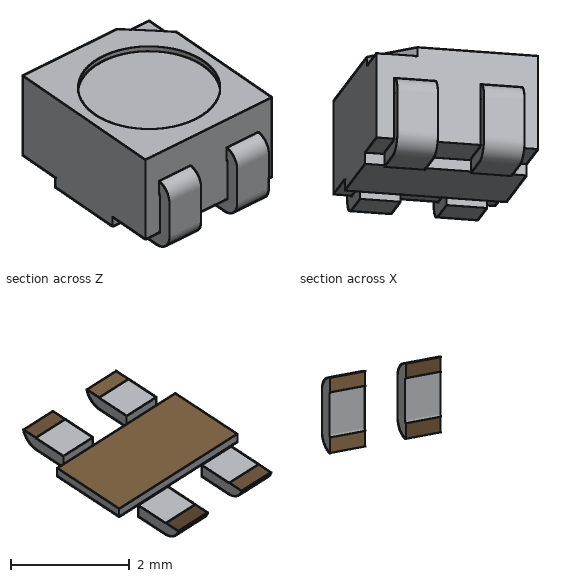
import cadquery as cq
import math

overall_length = 3.75
overall_height = 1.93

housing_length = 3.202
housing_width = 2.8
housing_bottom = 0.278
plinth_length = 1.5
plinth_bottom = 0.08
window_diameter = 2.4
window_offset = 0.05
window_depth = 0.1
corner_notch_leg = 0.71
corner_notch_depth = 0.158

lead_width = 0.7
lead_pitch = 1.5
lead_thickness = 0.25
upper_inner_radius = 0.05
upper_outer_radius = upper_inner_radius + lead_thickness
lower_inner_radius = 0.082
lower_outer_radius = lower_inner_radius + lead_thickness
upper_bend_height = 1.05
foot_tip = 0.9

half_length = housing_length / 2
half_width = housing_width / 2


def make_housing():
    """Block on a narrower full-width plinth, with a round window and a notched corner."""
    block = cq.Workplane("XY").workplane(offset=housing_bottom).rect(housing_length, housing_width)
    block = block.extrude(overall_height - housing_bottom)
    plinth = cq.Workplane("XY").workplane(offset=plinth_bottom).rect(plinth_length, housing_width)
    plinth = plinth.extrude(housing_bottom - plinth_bottom)

    window = (
        cq.Workplane("XY")
        .workplane(offset=overall_height - window_depth)
        .center(window_offset, 0)
        .circle(window_diameter / 2)
        .extrude(window_depth)
    )

    corner_notch = (
        cq.Workplane("XY")
        .workplane(offset=overall_height - corner_notch_depth)
        .moveTo(-half_length, half_width)
        .lineTo(-half_length + corner_notch_leg, half_width)
        .lineTo(-half_length, half_width - corner_notch_leg)
        .close()
        .extrude(corner_notch_depth)
    )
    return block.union(plinth).cut(window).cut(corner_notch)


def make_lead(side, center_y):
    """J-shaped lead on the -X (side = -1) or +X (side = 1) face, ending flush on that face."""
    outer_x = overall_length / 2
    inner_x = outer_x - lead_thickness
    upper_bend_x = outer_x - upper_outer_radius
    lower_bend_x = outer_x - lower_outer_radius
    lower_bend_height = lower_outer_radius

    face_reach = half_length - upper_bend_x
    outer_end_angle = math.acos(face_reach / upper_outer_radius)
    inner_end_angle = math.acos(face_reach / upper_inner_radius)

    def upper_bend(radius, angle):
        x = upper_bend_x + radius * math.cos(angle)
        return (side * x, upper_bend_height + radius * math.sin(angle))

    def lower_bend(radius, angle):
        x = lower_bend_x + radius * math.cos(angle)
        return (side * x, lower_bend_height + radius * math.sin(angle))

    return (
        cq.Workplane("XZ", origin=(0, center_y + lead_width / 2, 0))
        .moveTo(side * foot_tip, 0)
        .lineTo(side * lower_bend_x, 0)
        .threePointArc(lower_bend(lower_outer_radius, -math.pi / 4), (side * outer_x, lower_bend_height))
        .lineTo(side * outer_x, upper_bend_height)
        .threePointArc(
            upper_bend(upper_outer_radius, outer_end_angle / 2),
            upper_bend(upper_outer_radius, outer_end_angle),
        )
        .lineTo(*upper_bend(upper_inner_radius, inner_end_angle))
        .threePointArc(
            upper_bend(upper_inner_radius, inner_end_angle / 2),
            (side * inner_x, upper_bend_height),
        )
        .lineTo(side * inner_x, lower_bend_height)
        .threePointArc(lower_bend(lower_inner_radius, -math.pi / 4), (side * lower_bend_x, lead_thickness))
        .lineTo(side * foot_tip, lead_thickness)
        .close()
        .extrude(lead_width)
    )


housing = make_housing()

leads = []
for side in (-1, 1):
    for center_y in (-lead_pitch / 2, lead_pitch / 2):
        leads.append(make_lead(side, center_y).val())

result = cq.Compound.makeCompound([housing.val(), *leads])